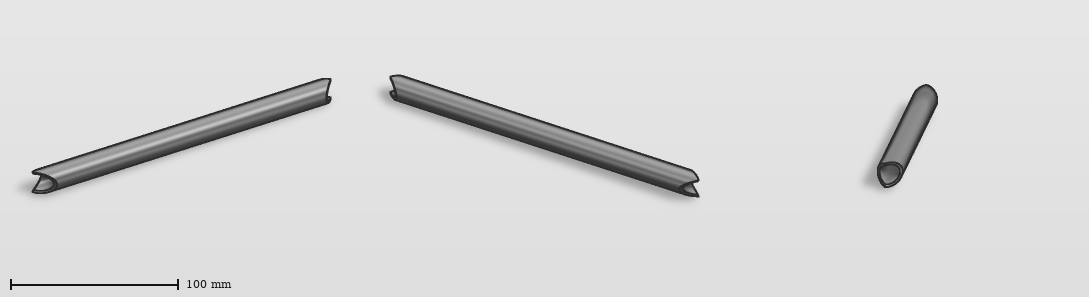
import cadquery as cq
import math

outer_radius = 7.5
wall = 1.5
heading = 44.42
descent = 0.8

far_x = 146.15
far_y = 140.53

saddle_radius = 18.0
saddle_length = 120.0
corner_height = 7.22
side_saddle_heading = 80.0
front_saddle_heading = 0.0

spare_length = 12.0


def direction(plan_angle, down_angle=0.0):
    """Unit vector at an angle from +X in plan, sloping down."""
    plan = math.radians(plan_angle)
    down = math.radians(down_angle)
    return cq.Vector(
        math.cos(plan) * math.cos(down),
        math.sin(plan) * math.cos(down),
        -math.sin(down),
    )


def make_tube():
    """Round tube, longer than needed, whose axis passes over the far corner."""
    axis = direction(heading, descent)
    plan_run = math.hypot(far_x, far_y)
    far_drop = plan_run * math.tan(math.radians(descent))
    stock_length = plan_run + 2 * spare_length
    far_corner = cq.Vector(far_x, far_y, -far_drop)
    start = far_corner - axis * (stock_length - spare_length)
    outer = cq.Solid.makeCylinder(outer_radius, stock_length, start, axis)
    bore = cq.Solid.makeCylinder(outer_radius - wall, stock_length, start, axis)
    return cq.Workplane(obj=outer.cut(bore))


def make_saddle(plan_angle, outward_turn):
    """Level cylinder beside the tube whose surface passes through the near corner points."""
    axis = direction(plan_angle)
    outward = direction(plan_angle + outward_turn)
    setback = math.sqrt(saddle_radius**2 - corner_height**2)
    start = outward * setback - axis * (saddle_length / 2)
    return cq.Workplane(obj=cq.Solid.makeCylinder(saddle_radius, saddle_length, start, axis))


def make_far_limit():
    """Block that keeps only what lies before both far planes."""
    size = 2 * math.hypot(far_x, far_y)
    centre = (far_x - size / 2, far_y - size / 2, 0)
    return cq.Workplane().box(size, size, size).translate(centre)


result = (
    make_tube()
    .intersect(make_far_limit())
    .cut(make_saddle(side_saddle_heading, 90))
    .cut(make_saddle(front_saddle_heading, -90))
    .solids()
)